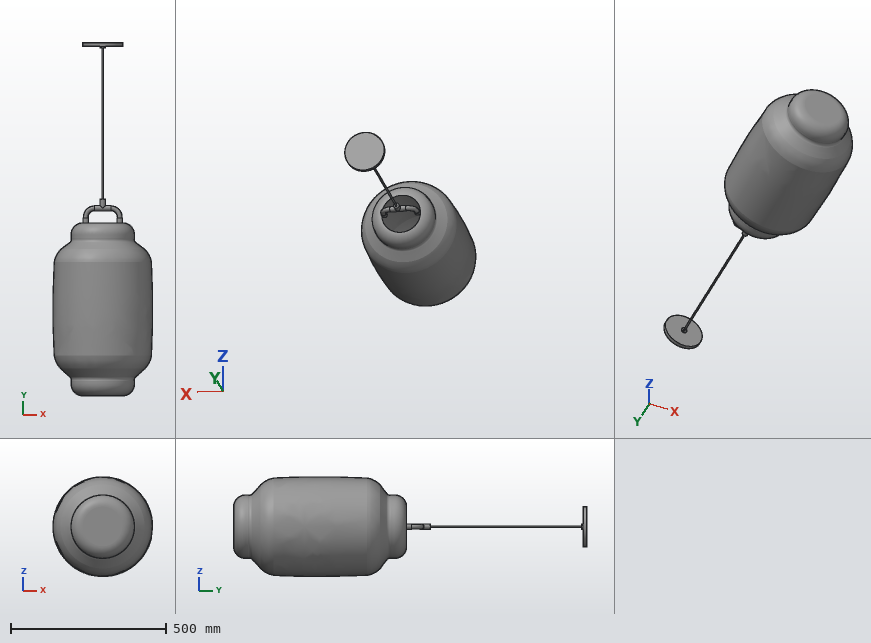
import cadquery as cq
import math

total_length = 1140.0

shade_length = 559.0
cap_radius = 103.0
cap_rounding = 39.0
barrel_end_radius = 157.0
barrel_diameter = 323.0
barrel_bottom = 130.0
barrel_top = 431.0
shoulder_mid_radius = 150.0
shoulder_end_radius = 136.0
shoulder_mid_rise = 22.0
shoulder_rise = 42.0
neck_radius = 108.0
neck_mid_radius = 104.0
upper_neck_start = 507.0
upper_neck_mid = 498.0
upper_neck_end = 494.0
lower_neck_start = 48.0
lower_neck_mid = 58.0
lower_neck_end = 63.0

socket_radius = 9.0
socket_height = 15.0
socket_offset = 55.0
tube_radius = 8.0
tube_axis_height = 47.0
tee_half_length = 26.0

gland_radius = 9.0
gland_top = 635.0

cable_radius = 2.9
plate_radius = 65.0
plate_thickness = 13.0
collar_radius = 9.0
collar_height = 5.0


def rod(radius, start, end, x=0.0):
    """Round rod parallel to Y between two Y positions."""
    return cq.Workplane("XZ", origin=(x, start, 0)).circle(radius).extrude(start - end)


def make_shade():
    """Revolve the half outline around the Y axis."""
    flat_radius = cap_radius - cap_rounding
    arc_mid_radius = flat_radius + cap_rounding * math.sin(math.radians(45))
    arc_mid_inset = cap_rounding * (1 - math.cos(math.radians(45)))
    outline = (
        cq.Workplane("XY")
        .lineTo(flat_radius, 0)
        .threePointArc((arc_mid_radius, arc_mid_inset), (cap_radius, cap_rounding))
        .lineTo(cap_radius, lower_neck_start)
        .threePointArc((neck_mid_radius, lower_neck_mid), (neck_radius, lower_neck_end))
        .lineTo(shoulder_end_radius, barrel_bottom - shoulder_rise)
        .threePointArc(
            (shoulder_mid_radius, barrel_bottom - shoulder_mid_rise),
            (barrel_end_radius, barrel_bottom),
        )
        .threePointArc(
            (barrel_diameter / 2, (barrel_bottom + barrel_top) / 2),
            (barrel_end_radius, barrel_top),
        )
        .threePointArc(
            (shoulder_mid_radius, barrel_top + shoulder_mid_rise),
            (shoulder_end_radius, barrel_top + shoulder_rise),
        )
        .lineTo(neck_radius, upper_neck_end)
        .threePointArc((neck_mid_radius, upper_neck_mid), (cap_radius, upper_neck_start))
        .lineTo(cap_radius, shade_length - cap_rounding)
        .threePointArc(
            (arc_mid_radius, shade_length - arc_mid_inset), (flat_radius, shade_length)
        )
        .lineTo(0, shade_length)
        .close()
    )
    return outline.revolve(360, (0, 0, 0), (0, 1, 0))


def make_handle():
    """Sweep the tube over the arch, then add its sockets and tee."""
    axis_y = shade_length + tube_axis_height
    bend_radius = socket_offset - tee_half_length
    bend_start = axis_y - bend_radius
    path = (
        cq.Workplane("XY")
        .moveTo(-socket_offset, shade_length)
        .lineTo(-socket_offset, bend_start)
        .radiusArc((-tee_half_length, axis_y), bend_radius)
        .lineTo(tee_half_length, axis_y)
        .radiusArc((socket_offset, bend_start), bend_radius)
        .lineTo(socket_offset, shade_length)
    )
    handle = (
        cq.Workplane("XZ", origin=(-socket_offset, shade_length, 0))
        .circle(tube_radius)
        .sweep(path)
    )
    for x in (-socket_offset, socket_offset):
        handle = handle.union(rod(socket_radius, shade_length, shade_length + socket_height, x))
    tee = (
        cq.Workplane("YZ", origin=(-tee_half_length, axis_y, 0))
        .circle(socket_radius)
        .extrude(2 * tee_half_length)
    )
    return handle.union(tee)


def make_gland():
    """Plain round gland rising from the tee axis."""
    return rod(gland_radius, shade_length + tube_axis_height, gland_top)


def make_suspension():
    """Cable, ceiling plate and the collar where they meet."""
    plate_bottom = total_length - plate_thickness
    cable = rod(cable_radius, shade_length + tube_axis_height, total_length)
    collar = rod(collar_radius, plate_bottom - collar_height, plate_bottom)
    plate = rod(plate_radius, plate_bottom, total_length)
    return plate.union(collar).union(cable)


result = make_shade().union(make_handle()).union(make_gland()).union(make_suspension())